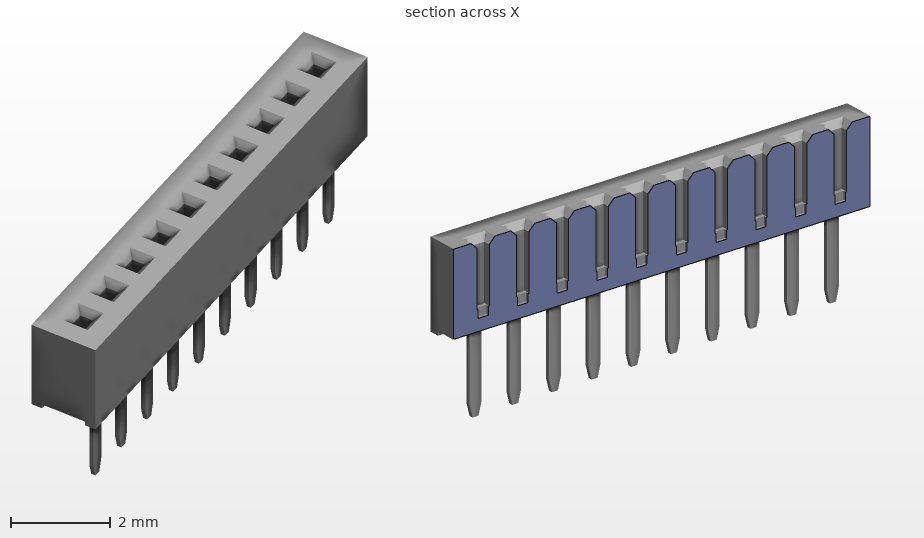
import cadquery as cq

housing_width = 1.5
pitch = 1.0
contact_count = 10
end_margin = 0.75
housing_length = (contact_count - 1) * pitch + 2 * end_margin
housing_height = 2.1
channel_width = 1.0
channel_depth = 0.1

funnel_top = 0.6
well_side = 0.3
funnel_depth = (funnel_top - well_side) / 2
socket_depth = 1.5
well_depth = socket_depth - funnel_depth
slot_width = 0.1
slot_length = 0.25
slot_depth = 0.2

overall_height = 4.0
pin_thickness = 0.1
pin_width = 0.3
pin_tip_width = pin_width / 2
pin_taper = 0.3
pin_offset_x = 0.29
pin_tip_z = housing_height - overall_height

contact_positions = [(i - (contact_count - 1) / 2) * pitch for i in range(contact_count)]


def make_housing():
    """Plain bar with a shallow channel along the underside."""
    bar = cq.Workplane("XY").box(
        housing_width, housing_length, housing_height, centered=(True, True, False)
    )
    channel = cq.Workplane("XY").box(
        channel_width, housing_length, channel_depth, centered=(True, True, False)
    )
    return bar.cut(channel)


def make_socket(y):
    """Volume removed from the housing for the socket at position y."""
    funnel_floor = housing_height - funnel_depth
    funnel = (
        cq.Workplane("XY", origin=(0, y, housing_height))
        .rect(funnel_top, funnel_top)
        .workplane(offset=-funnel_depth)
        .rect(well_side, well_side)
        .loft(ruled=True)
    )
    well = (
        cq.Workplane("XY", origin=(0, y, funnel_floor))
        .rect(well_side, well_side)
        .extrude(-well_depth)
    )
    slot = (
        cq.Workplane("XY", origin=(0, y, funnel_floor - well_depth))
        .rect(slot_width, slot_length)
        .extrude(-slot_depth)
    )
    return funnel.union(well).union(slot)


def make_pin(y):
    """Flat tail at position y, reaching from the channel roof down to the tapered tip."""
    taper_start_z = pin_tip_z + pin_taper
    return (
        cq.Workplane("YZ", origin=(pin_offset_x - pin_thickness / 2, y, 0))
        .moveTo(-pin_width / 2, channel_depth)
        .lineTo(-pin_width / 2, taper_start_z)
        .lineTo(-pin_tip_width / 2, pin_tip_z)
        .lineTo(pin_tip_width / 2, pin_tip_z)
        .lineTo(pin_width / 2, taper_start_z)
        .lineTo(pin_width / 2, channel_depth)
        .close()
        .extrude(pin_thickness)
    )


result = make_housing()
for contact_y in contact_positions:
    result = result.cut(make_socket(contact_y))
    result = result.union(make_pin(contact_y))